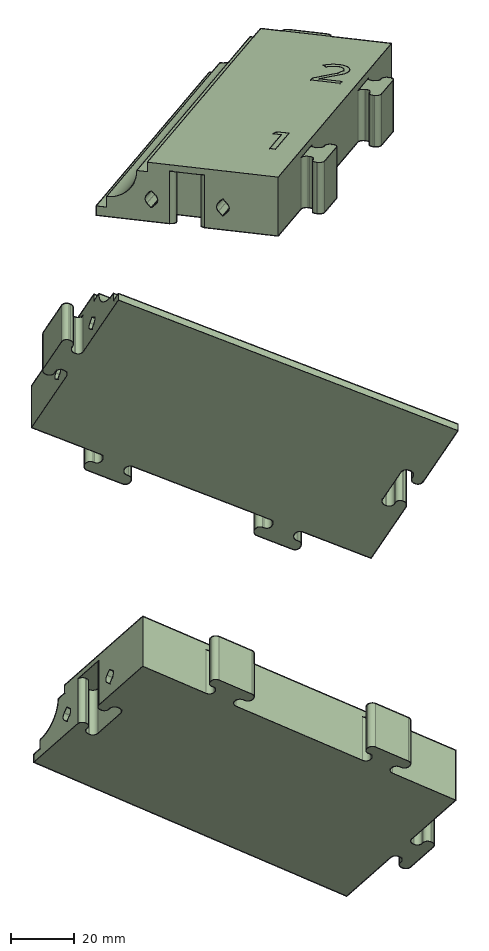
import cadquery as cq
import math

block_width = 60.0
block_length = 120.0
block_height = 20.0
step_width = 3.5
base_step_height = 3.2
top_step_height = 3.2
cove_radius = 10.0

rod_hole_radius = 2.0
rod_hole_height = 5.6
rod_hole_z = 7.5
rod_hole_spacing = 23.5
rod_hole_xs = [block_width / 2 + side * rod_hole_spacing / 2 for side in (-1, 1)]

key_round_radius = 1.8
key_flat = 0.4
key_section = 2 * key_round_radius + key_flat
waist_half_width = 4.0
head_width = 16.1
key_height = 17.4
socket_height = 17.8
socket_clearance = 0.1
end_key_x = block_width / 2
side_key_ys = (block_length / 4, block_length * 3 / 4)

inlay_depth = 1.0
stroke = 1.9

one_right = 52.1
one_bottom = 22.6
one_top = 37.0
flag_left = 47.3
flag_slant = 0.8

two_left = 45.0
two_right = 54.8
two_bottom = 82.5
bar_thickness = 1.7
two_top = 97.8
bowl_outer_end = (52.7, 89.7)
bowl_outer_side = (54.4, 93.4)
bowl_outer_shoulder = (53.0, 96.5)
bowl_outer_crown = (51.5, 97.4)
bowl_inner_end = (51.4, 90.6)
bowl_inner_side = (52.6, 93.4)
bowl_inner_shoulder = (51.5, 95.3)
bowl_top_x = 49.8
tip_outer = (two_left, 95.7)
tip_outer_middle = (47.2, 97.2)
tip_inner = (46.3, 94.5)
tip_inner_middle = (47.9, 95.6)
diagonal_foot_x = 47.2


def make_key(height, clearance):
    """T-shaped key on y = 0 pointing to +Y, grown outward by the clearance."""
    mouth_half_width = waist_half_width + key_round_radius
    waist_radius = key_round_radius - clearance
    neck = cq.Workplane("XY").box(
        2 * mouth_half_width, key_section, height, centered=(True, False, False)
    )
    waists = (
        cq.Workplane("XY")
        .pushPoints([(side * mouth_half_width, key_section / 2) for side in (-1, 1)])
        .slot2D(key_flat + 2 * waist_radius, 2 * waist_radius, 90)
        .extrude(height)
    )
    head = (
        cq.Workplane("XY")
        .center(0, key_section + key_section / 2)
        .rect(head_width + 2 * clearance, key_section + 2 * clearance)
        .extrude(height)
        .edges("|Z")
        .fillet(key_round_radius + clearance)
    )
    return neck.cut(waists).union(head)


def make_moulded_body():
    """Plain block with a stepped cove along its -X edge."""
    cove_left = step_width
    cove_right = cove_left + cove_radius
    ledge_z = block_height - top_step_height
    cove_bottom = ledge_z - cove_radius
    diagonal = cove_radius * math.sqrt(0.5)
    return (
        cq.Workplane("XZ")
        .lineTo(block_width, 0)
        .lineTo(block_width, block_height)
        .lineTo(cove_right + step_width, block_height)
        .lineTo(cove_right + step_width, ledge_z)
        .lineTo(cove_right, ledge_z)
        .threePointArc((cove_left + diagonal, ledge_z - diagonal), (cove_left, cove_bottom))
        .lineTo(cove_left, base_step_height)
        .lineTo(0, base_step_height)
        .close()
        .extrude(-block_length)
    )


def make_rod_hole(x):
    """Cutter for one rod hole: a cylinder with 45 degree roofs at top and bottom, cut flat."""
    plane = cq.Workplane("XZ").center(x, rod_hole_z)
    round_bore = plane.circle(rod_hole_radius).extrude(-block_length)
    square_bar = (
        plane.transformed(rotate=(0, 0, 45))
        .rect(2 * rod_hole_radius, 2 * rod_hole_radius)
        .extrude(-block_length)
    )
    roof_limits = (
        plane.rect(math.sqrt(2) * rod_hole_radius, rod_hole_height)
        .extrude(-block_length)
    )
    return round_bore.union(square_bar.intersect(roof_limits))


def inlay_plane():
    """Workplane on the floor of the shallow number recesses."""
    return cq.Workplane("XY", origin=(0, 0, block_height - inlay_depth))


def make_one():
    """Digit one, filling its recess."""
    return (
        inlay_plane()
        .moveTo(one_right, one_bottom)
        .lineTo(one_right, one_top)
        .lineTo(flag_left + flag_slant, one_top)
        .lineTo(flag_left, one_top - stroke)
        .lineTo(one_right - stroke, one_top - stroke)
        .lineTo(one_right - stroke, one_bottom)
        .close()
        .extrude(inlay_depth)
    )


def make_two():
    """Digit two, filling its recess."""
    bar_top = two_bottom + bar_thickness
    return (
        inlay_plane()
        .moveTo(two_left, two_bottom)
        .lineTo(two_right, two_bottom)
        .lineTo(two_right, bar_top)
        .lineTo(diagonal_foot_x, bar_top)
        .lineTo(*bowl_outer_end)
        .threePointArc(bowl_outer_side, bowl_outer_shoulder)
        .threePointArc(bowl_outer_crown, (bowl_top_x, two_top))
        .threePointArc(tip_outer_middle, tip_outer)
        .lineTo(*tip_inner)
        .threePointArc(tip_inner_middle, (bowl_top_x, two_top - bar_thickness))
        .threePointArc(bowl_inner_shoulder, bowl_inner_side)
        .lineTo(*bowl_inner_end)
        .lineTo(two_left, bar_top)
        .close()
        .extrude(inlay_depth)
    )


def make_block(inlays):
    """Block with its keys, socket and rod holes, and a recess for each inlay."""
    block = make_moulded_body()
    key = make_key(key_height, 0)
    block = block.union(key.translate((end_key_x, block_length, 0)))
    side_key = key.rotate((0, 0, 0), (0, 0, 1), -90)
    for y in side_key_ys:
        block = block.union(side_key.translate((block_width, y, 0)))
    block = block.cut(make_key(socket_height, socket_clearance).translate((end_key_x, 0, 0)))
    for x in rod_hole_xs:
        block = block.cut(make_rod_hole(x))
    for inlay in inlays:
        block = block.cut(inlay)
    return block


number_one = make_one()
number_two = make_two()
block = make_block([number_one, number_two])

result = cq.Compound.makeCompound([block.val(), number_one.val(), number_two.val()])